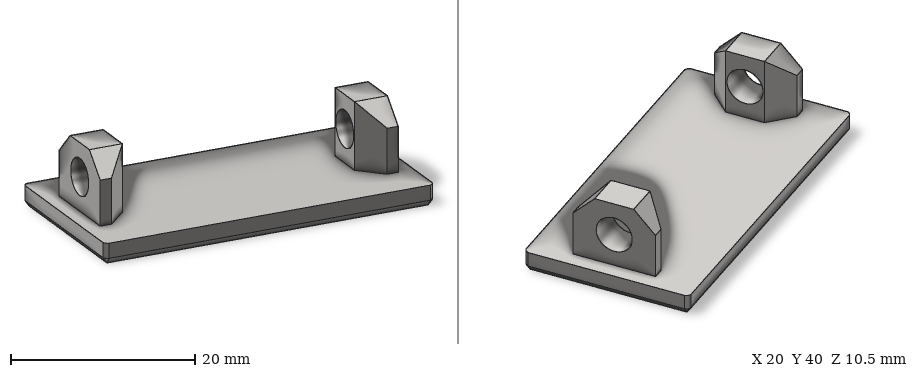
import cadquery as cq
import math

plate_width = 20.0
plate_length = 40.0
plate_thickness = 2.5
corner_radius = 0.74
bevel_height = 0.7
bevel_inset = 0.5

lug_width = 10.0
lug_depth = 4.0
lug_height = 8.0
lug_chamfer = 2.65
lug_end_gap = 1.9
hole_diameter = 4.35
hole_height = plate_thickness + lug_height / 2


def make_bar(plane, width, length):
    """Bar centred on the origin, its two long lower edges bevelled."""
    half_width = width / 2
    half_base = half_width - bevel_inset
    return (
        cq.Workplane(plane)
        .moveTo(-half_base, 0)
        .lineTo(half_base, 0)
        .lineTo(half_width, bevel_height)
        .lineTo(half_width, plate_thickness)
        .lineTo(-half_width, plate_thickness)
        .lineTo(-half_width, bevel_height)
        .close()
        .extrude(length / 2, both=True)
    )


def make_corner():
    """Corner at +X +Y: a shallow arc above, narrowing to a point at the base."""
    outer_x = plate_width / 2
    outer_y = plate_length / 2
    inner_x = outer_x - bevel_inset
    inner_y = outer_y - bevel_inset

    half_chord = bevel_inset / math.sqrt(2)
    center_to_chord = math.sqrt(corner_radius**2 - half_chord**2)
    bulge = (corner_radius - center_to_chord) / math.sqrt(2)
    arc_middle = (outer_x - bevel_inset / 2 + bulge, outer_y - bevel_inset / 2 + bulge)

    sector = (
        cq.Workplane("XY", origin=(0, 0, bevel_height))
        .moveTo(inner_x, inner_y)
        .lineTo(outer_x, inner_y)
        .threePointArc(arc_middle, (inner_x, outer_y))
        .close()
    )
    upper = sector.extrude(plate_thickness - bevel_height)
    base_point = cq.Vertex.makeVertex(inner_x, inner_y, 0)
    lower = cq.occ_impl.shapes.loft(sector.wire().val(), base_point, cap=True)
    return upper.union(cq.Workplane(lower))


def make_plate():
    """Two crossing bevelled bars, filled in at the four corners."""
    across = make_bar("XZ", plate_width, plate_length - 2 * bevel_inset)
    along = make_bar("YZ", plate_length, plate_width - 2 * bevel_inset)
    plate = across.union(along)
    corner = make_corner()
    for end_corner in (corner, corner.mirror("XZ")):
        plate = plate.union(end_corner).union(end_corner.mirror("YZ"))
    return plate


def make_lug():
    """Lug at the -Y end, chamfered on its top corners and its inner upright corners."""
    outer_y = -plate_length / 2 + lug_end_gap
    half_width = lug_width / 2
    half_flat = half_width - lug_chamfer
    top_z = plate_thickness + lug_height

    elevation = (
        cq.Workplane("XZ", origin=(0, outer_y, 0))
        .moveTo(-half_width, plate_thickness)
        .lineTo(half_width, plate_thickness)
        .lineTo(half_width, top_z - lug_chamfer)
        .lineTo(half_flat, top_z)
        .lineTo(-half_flat, top_z)
        .lineTo(-half_width, top_z - lug_chamfer)
        .close()
        .extrude(-lug_depth)
    )

    inner_y = outer_y + lug_depth
    footprint = (
        cq.Workplane("XY", origin=(0, 0, plate_thickness))
        .moveTo(-half_width, outer_y)
        .lineTo(half_width, outer_y)
        .lineTo(half_width, inner_y - lug_chamfer)
        .lineTo(half_flat, inner_y)
        .lineTo(-half_flat, inner_y)
        .lineTo(-half_width, inner_y - lug_chamfer)
        .close()
        .extrude(lug_height)
    )
    return elevation.intersect(footprint)


def make_hole():
    """Bore along Y through both lugs."""
    return (
        cq.Workplane("XZ", origin=(0, 0, hole_height))
        .circle(hole_diameter / 2)
        .extrude(plate_length / 2, both=True)
    )


lug = make_lug()
result = make_plate().union(lug).union(lug.mirror("XZ")).cut(make_hole())